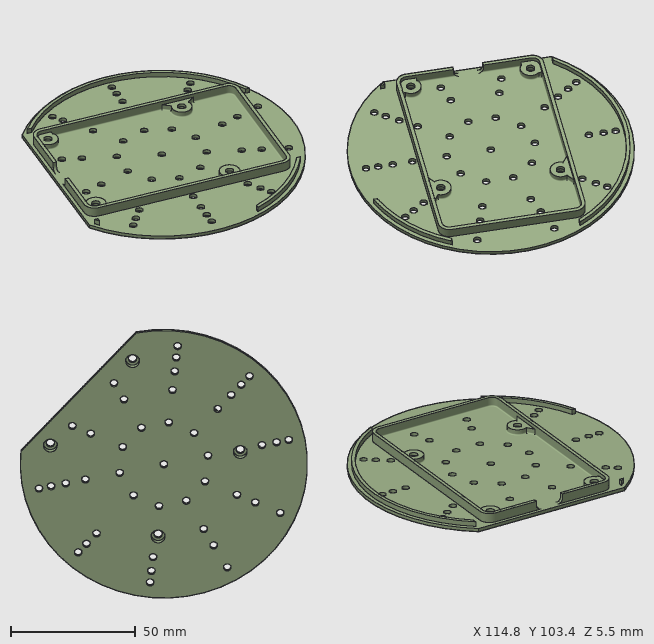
import cadquery as cq
import math

plate_radius = 57.4
plate_thickness = 1.5
flat_y = -46.0
flat_half_width = math.sqrt(plate_radius**2 - flat_y**2)

rim_outer_radius = 55.6
rim_inner_radius = 54.2
rim_height = 2.1
rim_rear_gap_half_width = 26.0
rim_side_gap_front_y = -42.3
rim_side_gap_rear_y = 19.6

wall_height = 4.0
wall_thickness = 1.5
wall_half_width = 30.0
wall_half_length = 44.5
wall_corner_radius = 4.5
wall_inner_half_width = wall_half_width - wall_thickness
wall_inner_half_length = wall_half_length - wall_thickness
opening_floor_half_width = 3.9
opening_flare_radius = 2.2
floor_fillet = 0.5

boss_radius = 4.1
boss_height = 2.4
boss_x = 24.4
rear_boss_y = 19.0
front_boss_y = -39.0
boss_hole_diameter = 3.3
boss_counterbore_diameter = 5.5
boss_shoulder_thickness = 1.3
corner_block_half_size = 3.1
web_half_length_at_wall = 6.8
web_half_length_at_boss = 3.4
web_reach = 2.3

mounting_hole_diameter = 3.0
hole_angle_step = 36
steps_per_turn = 360 // hole_angle_step
hole_circles = [
    (0, (0,)),
    (18.0, range(steps_per_turn)),
    (32.0, (0, 2, 3, 6, 7, 8, 9)),
    (40.0, range(steps_per_turn)),
    (46.0, (0, 1, 4, 5, 6, 9)),
    (51.0, (0, 1, 2, 3, 4, 5, 6, 9)),
]

plate_top = plate_thickness
boss_top = plate_top + boss_height
boss_positions = [(side * boss_x, y) for side in (-1, 1) for y in (rear_boss_y, front_boss_y)]


def make_rounded_block(half_width, half_length, corner_radius):
    return (
        cq.Workplane("XY", origin=(0, 0, plate_top))
        .rect(2 * half_width, 2 * half_length)
        .extrude(wall_height)
        .edges("|Z")
        .fillet(corner_radius)
    )


def make_rim_gap(x_min, x_max, y_min, y_max):
    return (
        cq.Workplane("XY")
        .box(x_max - x_min, y_max - y_min, rim_height, centered=False)
        .translate((x_min, y_min, plate_top))
    )


def make_plate():
    return (
        cq.Workplane("XY")
        .moveTo(-flat_half_width, flat_y)
        .threePointArc((0, plate_radius), (flat_half_width, flat_y))
        .close()
        .extrude(plate_thickness)
    )


def make_rim():
    ring = (
        cq.Workplane("XY", origin=(0, 0, plate_top))
        .circle(rim_outer_radius)
        .circle(rim_inner_radius)
        .extrude(rim_height)
    )
    rear_gap = make_rim_gap(-rim_rear_gap_half_width, rim_rear_gap_half_width, 0, plate_radius)
    front_gap = make_rim_gap(-flat_half_width, flat_half_width, -plate_radius, 0)
    side_gap = make_rim_gap(0, plate_radius, rim_side_gap_front_y, rim_side_gap_rear_y)
    return ring.cut(rear_gap).cut(front_gap).cut(side_gap)


def make_tray_cavity():
    """Inside of the tray with the bosses standing in it, rounded along its floor."""
    inner_corner_radius = wall_corner_radius - wall_thickness
    cavity = make_rounded_block(wall_inner_half_width, wall_inner_half_length, inner_corner_radius)
    for x, y in boss_positions:
        cavity = cavity.cut(make_boss(x, y))
    return cavity.faces("<Z").edges().fillet(floor_fillet)


def make_boss(x, y):
    """Round pad, joined to the wall by a web or to the tray corner by a block."""
    side = math.copysign(1, x)
    wall_x = side * wall_half_width
    base = cq.Workplane("XY", origin=(0, 0, plate_top))
    pad = base.center(x, y).circle(boss_radius).extrude(boss_height)
    if y == rear_boss_y:
        inner_wall_x = side * wall_inner_half_width
        web_x = inner_wall_x - side * web_reach
        joint = base.polyline([
            (wall_x, y + web_half_length_at_wall),
            (inner_wall_x, y + web_half_length_at_wall),
            (web_x, y + web_half_length_at_boss),
            (web_x, y - web_half_length_at_boss),
            (inner_wall_x, y - web_half_length_at_wall),
            (wall_x, y - web_half_length_at_wall),
        ]).close().extrude(boss_height)
    else:
        block_x = x - side * corner_block_half_size
        joint = base.polyline([
            (wall_x, -wall_half_length),
            (block_x, -wall_half_length),
            (block_x, y),
            (x, y + corner_block_half_size),
            (wall_x, y + corner_block_half_size),
        ]).close().extrude(boss_height)
    return pad.union(joint)


def make_front_opening():
    """Gap through the front wall whose two ends flare out to meet the floor."""
    top_half_width = opening_floor_half_width + opening_flare_radius
    flare_z = plate_top + opening_flare_radius
    wall_top = plate_top + wall_height
    flare_offset = opening_flare_radius * (1 - math.sqrt(0.5))
    flare_mid_x = top_half_width - flare_offset
    flare_mid_z = plate_top + flare_offset
    return (
        cq.Workplane("XZ", origin=(0, -wall_inner_half_length + 2 * floor_fillet, 0))
        .moveTo(-opening_floor_half_width, plate_top)
        .lineTo(opening_floor_half_width, plate_top)
        .threePointArc((flare_mid_x, flare_mid_z), (top_half_width, flare_z))
        .lineTo(top_half_width, wall_top)
        .lineTo(-top_half_width, wall_top)
        .lineTo(-top_half_width, flare_z)
        .threePointArc((-flare_mid_x, flare_mid_z), (-opening_floor_half_width, plate_top))
        .close()
        .extrude(wall_thickness + 2 * floor_fillet)
    )


def make_tray():
    block = make_rounded_block(wall_half_width, wall_half_length, wall_corner_radius)
    return block.cut(make_tray_cavity()).cut(make_front_opening())


def make_mounting_holes():
    points = [
        (
            radius * math.cos(math.radians(step * hole_angle_step)),
            radius * math.sin(math.radians(step * hole_angle_step)),
        )
        for radius, steps in hole_circles
        for step in steps
    ]
    return cq.Workplane("XY").pushPoints(points).circle(mounting_hole_diameter / 2).extrude(boss_top)


def make_boss_holes():
    base = cq.Workplane("XY").pushPoints(boss_positions)
    through = base.circle(boss_hole_diameter / 2).extrude(boss_top)
    counterbore = base.circle(boss_counterbore_diameter / 2).extrude(boss_top - boss_shoulder_thickness)
    return through.union(counterbore)


result = (
    make_plate()
    .union(make_rim())
    .union(make_tray())
    .cut(make_mounting_holes())
    .cut(make_boss_holes())
)